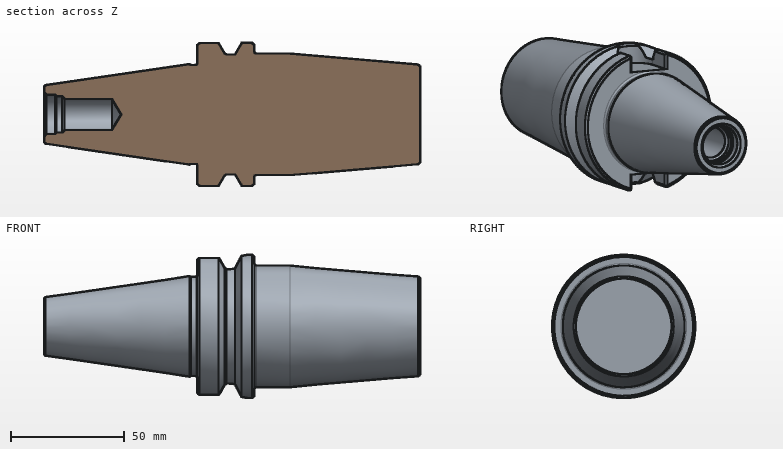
import cadquery as cq
import math

length = 165.4
rim_diameter = 63.0
rim_radius = rim_diameter / 2
edge_chamfer = 1.0

taper_end = 63.8
taper_radius = 22.2
taper_slope = 7 / 24 / 2
small_end_radius = taper_radius - taper_slope * taper_end
small_end_chamfer = 0.7

relief_radius = 21.8
relief_start = 64.5
relief_fillet = 0.8

flange_start = 67.3
groove_start = 76.7
groove_cone_end = 79.4
groove_bottom_start = 80.2
groove_bottom_end = 83.9
groove_end = 86.8
flange_end = 92.5
groove_radius = 26.5
groove_cone_end_radius = 27.0

nose_radius = 26.8
nose_fillet = 0.8
nose_taper_start = 108.2
nose_end_radius = 22.0
nose_chamfer = 1.0

slot_half_width = 8.3
slot_floor = 22.8
slot_end = 88.2
slot_center = slot_end - slot_half_width
cut_clearance = 1.7
slot_top = rim_radius + cut_clearance
lug_chamfer_base = 29.1
round_chamfer_base = 30.5

mouth_radius = 9.8
mouth_depth = 1.0
pilot_radius = 8.6
pilot_depth = 4.8
step_radius = 8.0
step_start = 5.5
step_end = 8.0
core_start = 9.1
core_radius = 6.8
core_end = 29.8
drill_half_angle = math.radians(59)
drill_tip = core_end + core_radius / math.tan(drill_half_angle)


def turned_body():
    """Revolve the outer profile: taper, relief, grooved flange and nose."""
    return (
        cq.Workplane("XY")
        .moveTo(0, 0)
        .lineTo(0, small_end_radius - small_end_chamfer)
        .lineTo(small_end_chamfer, small_end_radius + taper_slope * small_end_chamfer)
        .lineTo(taper_end, taper_radius)
        .lineTo(relief_start, relief_radius)
        .lineTo(flange_start - relief_fillet, relief_radius)
        .radiusArc((flange_start, relief_radius + relief_fillet), -relief_fillet)
        .lineTo(flange_start, rim_radius - edge_chamfer)
        .lineTo(flange_start + edge_chamfer, rim_radius)
        .lineTo(groove_start, rim_radius)
        .lineTo(groove_cone_end, groove_cone_end_radius)
        .lineTo(groove_bottom_start, groove_radius)
        .lineTo(groove_bottom_end, groove_radius)
        .lineTo(groove_end, rim_radius)
        .lineTo(flange_end - edge_chamfer, rim_radius)
        .lineTo(flange_end, rim_radius - edge_chamfer)
        .lineTo(flange_end, nose_radius + nose_fillet)
        .radiusArc((flange_end + nose_fillet, nose_radius), -nose_fillet)
        .lineTo(nose_taper_start, nose_radius)
        .lineTo(length - nose_chamfer, nose_end_radius)
        .lineTo(length, nose_end_radius - nose_chamfer)
        .lineTo(length, 0)
        .close()
        .revolve(360, (0, 0, 0), (1, 0, 0))
    )


def draw_bar_hole():
    """Stepped blind hole with a drill-point bottom."""
    return (
        cq.Workplane("XY")
        .moveTo(0, 0)
        .lineTo(0, mouth_radius)
        .lineTo(mouth_depth, pilot_radius)
        .lineTo(pilot_depth, pilot_radius)
        .lineTo(step_start, step_radius)
        .lineTo(step_end, step_radius)
        .lineTo(core_start, core_radius)
        .lineTo(core_end, core_radius)
        .lineTo(drill_tip, 0)
        .close()
        .revolve(360, (0, 0, 0), (1, 0, 0))
    )


def slot_outline(base):
    """Round-ended slot outline, open past the taper-side flange face."""
    return (
        cq.Workplane("XY", origin=(0, 0, base))
        .moveTo(flange_start - edge_chamfer, -slot_half_width)
        .lineTo(slot_center, -slot_half_width)
        .threePointArc((slot_end, 0), (slot_center, slot_half_width))
        .lineTo(flange_start - edge_chamfer, slot_half_width)
        .close()
    )


def drive_slot():
    """Slot on the +Z side with its chamfered mouth and top edges."""
    slot = slot_outline(slot_floor).extrude(slot_top - slot_floor)
    round_chamfer = slot_outline(round_chamfer_base).extrude(slot_top - round_chamfer_base, taper=-45)

    chamfer_height = slot_top - lug_chamfer_base
    lug_chamfer = (
        cq.Workplane("YZ", origin=(flange_start, 0, 0))
        .moveTo(-slot_half_width, lug_chamfer_base)
        .lineTo(slot_half_width, lug_chamfer_base)
        .lineTo(slot_half_width + chamfer_height, slot_top)
        .lineTo(-slot_half_width - chamfer_height, slot_top)
        .close()
        .extrude(slot_center - flange_start)
    )

    mouth_chamfer = (
        cq.Workplane("XY", origin=(0, 0, slot_floor))
        .moveTo(flange_start, -slot_half_width - edge_chamfer)
        .lineTo(flange_start + edge_chamfer, -slot_half_width)
        .lineTo(flange_start + edge_chamfer, slot_half_width)
        .lineTo(flange_start, slot_half_width + edge_chamfer)
        .close()
        .extrude(slot_top - slot_floor)
    )
    return slot.union(lug_chamfer).union(mouth_chamfer).union(round_chamfer)


result = turned_body().cut(draw_bar_hole())
for side_angle in (0, 180):
    result = result.cut(drive_slot().rotate((0, 0, 0), (1, 0, 0), side_angle))